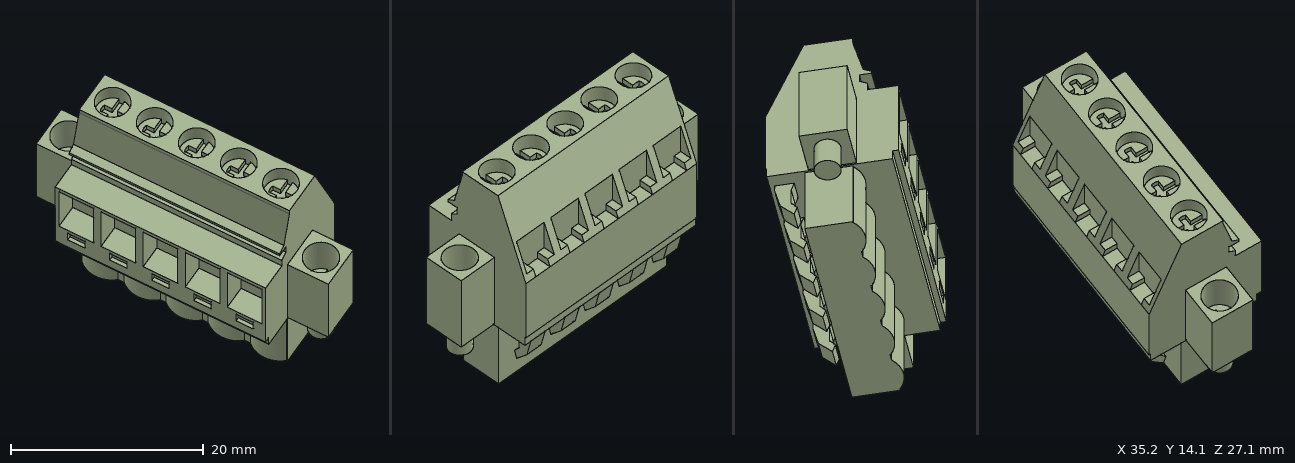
import cadquery as cq

pole_count = 5
pitch = 5.07
overall_width = 35.2
housing_width = 25.35
housing_top = 18.8

front_y = -7.0
back_y = 7.1
skirt_front_y = -6.37
skirt_back_y = 6.97
skirt_height = 1.15
crown_front_y = -2.15
crown_back_y = 3.05
crown_edge_z = 18.25
back_knee_z = 8.9
lip_root_y = -3.27
lip_root_z = 13.95
lip_tip_y = -4.15
lip_tip_top_z = 13.48
lip_tip_bottom_z = 13.15
groove_y = -2.85
groove_bottom_z = 12.25
step_y = -3.7
step_top_z = 11.75
shelf_z = 10.8

plug_width = 24.92
plug_length = 8.3
plug_back_y = 2.95
plug_front_y = -2.15
barrel_width = 4.35
barrel_bulge = 0.85

flange_depth = 5.1
flange_bottom = 0.18
flange_top = 9.65

window_width = 4.15
window_bottom = 4.12
window_top = 10.28
window_depth = 2.78
port_width = 2.08
port_bottom = 2.43
port_top = 3.6
port_depth = 0.45

notch_front_y = 5.28
wide_notch_width = 4.1
wide_notch_back_y = 6.75
narrow_notch_width = 2.1
back_slope = (housing_top - back_knee_z) / (crown_back_y - back_y)
wide_notch_floor = back_knee_z + back_slope * (wide_notch_back_y - back_y)

latch_width = narrow_notch_width
latch_outline = [
    (6.4, 0),
    (6.4, -0.7),
    (5.8, -3.1),
    (4.33, -4.6),
    (4.0, -3.65),
    (4.65, -2.9),
    (4.65, -0.95),
    (4.33, 0),
]

terminal_screw_diameter = 3.8
flange_head_diameter = 3.87
long_slot_width = 0.65
short_slot_width = 0.85
short_slot_length = 2.6
slot_depth = 0.7
terminal_y = 0.42
terminal_recess = 1.9
terminal_screw_length = 3.87
terminal_head_z = housing_top - terminal_recess
terminal_screw_bottom = terminal_head_z - terminal_screw_length
flange_head_z = 4.93
flange_head_length = 2.1
flange_head_bottom = flange_head_z - flange_head_length
stud_diameter = 2.8
stud_bottom = -3.0

pole_positions = [(i - (pole_count - 1) / 2) * pitch for i in range(pole_count)]
flange_screw_x = (pole_count + 1) / 2 * pitch
flange_positions = [-flange_screw_x, flange_screw_x]


def block(width, y_range, z_range, x=0):
    """Box centred on x, spanning the given Y and Z ranges."""
    y_min, y_max = y_range
    z_min, z_max = z_range
    box = cq.Workplane("XY").box(width, y_max - y_min, z_max - z_min, centered=(True, False, False))
    return box.translate((x, y_min, z_min))


def cylinder(diameter, x, y, z_min, z_max):
    """Upright cylinder between two heights."""
    return cq.Workplane("XY", origin=(x, y, z_min)).circle(diameter / 2).extrude(z_max - z_min)


def extrude_section(outline, width, x=0):
    """Extrude a closed YZ outline along X, centred on x."""
    section = cq.Workplane("YZ", origin=(x, 0, 0)).polyline(outline).close()
    return section.extrude(width / 2, both=True)


def make_shell():
    outline = [
        (crown_back_y, housing_top),
        (crown_front_y, housing_top),
        (crown_front_y, crown_edge_z),
        (lip_root_y, lip_root_z),
        (lip_tip_y, lip_tip_top_z),
        (lip_tip_y, lip_tip_bottom_z),
        (groove_y, lip_tip_bottom_z),
        (groove_y, groove_bottom_z),
        (step_y, step_top_z),
        (step_y, shelf_z),
        (front_y, shelf_z),
        (front_y, skirt_height),
        (skirt_front_y, skirt_height),
        (skirt_front_y, 0),
        (skirt_back_y, 0),
        (skirt_back_y, skirt_height),
        (back_y, skirt_height),
        (back_y, back_knee_z),
    ]
    return extrude_section(outline, housing_width)


def make_plug():
    """Plate with one bulging barrel front per pole."""
    outline = cq.Workplane("XY").moveTo(-plug_width / 2, plug_back_y).lineTo(-plug_width / 2, plug_front_y)
    for x in pole_positions:
        outline = outline.lineTo(x - barrel_width / 2, plug_front_y)
        outline = outline.threePointArc(
            (x, plug_front_y - barrel_bulge),
            (x + barrel_width / 2, plug_front_y),
        )
    outline = outline.lineTo(plug_width / 2, plug_front_y).lineTo(plug_width / 2, plug_back_y)
    return outline.close().extrude(-plug_length)


def cut_pole_openings(body, x):
    """Wire window, test port, rear notches and screw hole of one pole."""
    window = block(window_width, (front_y, front_y + window_depth), (window_bottom, window_top), x)
    port = block(port_width, (front_y, front_y + port_depth), (port_bottom, port_top), x)
    wide_notch = block(wide_notch_width, (notch_front_y, back_y), (wide_notch_floor, housing_top), x)
    narrow_notch = block(narrow_notch_width, (notch_front_y, back_y), (back_knee_z, housing_top), x)
    screw_hole = cylinder(terminal_screw_diameter, x, terminal_y, terminal_screw_bottom, housing_top)
    return body.cut(window).cut(port).cut(wide_notch).cut(narrow_notch).cut(screw_hole)


def cut_flange_hole(body, x):
    """Counterbored hole that holds one flange screw."""
    counterbore = cylinder(flange_head_diameter, x, 0, flange_head_bottom, flange_top)
    stud_hole = cylinder(stud_diameter, x, 0, flange_bottom, flange_top)
    return body.cut(counterbore).cut(stud_hole)


def make_housing():
    flanges = block(overall_width, (-flange_depth / 2, flange_depth / 2), (flange_bottom, flange_top))
    body = make_shell().union(flanges).union(make_plug())
    for x in pole_positions:
        body = body.union(extrude_section(latch_outline, latch_width, x))
        body = cut_pole_openings(body, x)
    for x in flange_positions:
        body = cut_flange_hole(body, x)
    return body


def cut_cross_slot(screw, head_diameter, x, y, head_z):
    """Long slot right across the head in Y, with a shorter round-ended slot in X."""
    slot_bottom = head_z - slot_depth
    long_slot = block(
        long_slot_width,
        (y - head_diameter / 2, y + head_diameter / 2),
        (slot_bottom, head_z),
        x,
    )
    short_slot = block(
        short_slot_length,
        (y - short_slot_width / 2, y + short_slot_width / 2),
        (slot_bottom, head_z),
        x,
    )
    rounded_slot = short_slot.intersect(cylinder(short_slot_length, x, y, slot_bottom, head_z))
    return screw.cut(long_slot).cut(rounded_slot)


def make_terminal_screw(x):
    screw = cylinder(terminal_screw_diameter, x, terminal_y, terminal_screw_bottom, terminal_head_z)
    return cut_cross_slot(screw, terminal_screw_diameter, x, terminal_y, terminal_head_z)


def make_flange_screw(x):
    head = cylinder(flange_head_diameter, x, 0, flange_head_bottom, flange_head_z)
    stud = cylinder(stud_diameter, x, 0, stud_bottom, flange_head_bottom)
    return cut_cross_slot(head.union(stud), flange_head_diameter, x, 0, flange_head_z)


housing = make_housing()
terminal_screws = [make_terminal_screw(x) for x in pole_positions]
flange_screws = [make_flange_screw(x) for x in flange_positions]

result = cq.Compound.makeCompound(
    [
        housing.val(),
        *[screw.val() for screw in terminal_screws],
        *[screw.val() for screw in flange_screws],
    ]
)